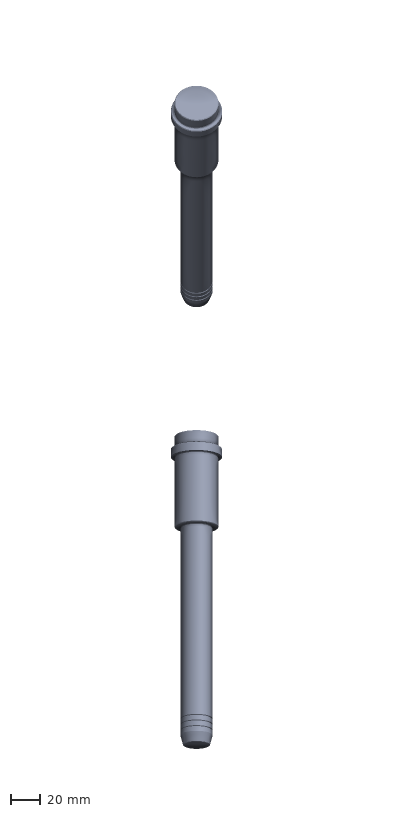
import math

import cadquery as cq

total_length = 220.0
head_diameter = 30.0
collar_diameter = 35.0
shank_diameter = 22.0

head_length = 65.0
collar_top_depth = 9.0
collar_thickness = 6.0

edge_chamfer = 0.5

taper_length = 7.0
taper_angle = 15.0
tip_chamfer = 0.3

groove_count = 3
groove_pitch = 4.0
groove_width = 1.0
groove_depth = 0.5
first_groove_bottom = 10.0

relief_width = 1.0
relief_depth = 0.4

head_bottom = total_length - head_length
collar_top = total_length - collar_top_depth
collar_bottom = collar_top - collar_thickness

taper_slope = math.tan(math.radians(taper_angle))
head_radius = head_diameter / 2
collar_radius = collar_diameter / 2
shank_radius = shank_diameter / 2
tip_radius = shank_radius - taper_length * taper_slope


def revolve_about_z(half_profile):
    """Revolve a closed outline of (radius, Z) points about the Z axis, with its seam on the -X side."""
    points = [(-radius, z) for radius, z in half_profile]
    return cq.Workplane("XZ").polyline(points).close().revolve(360, (0, 0, 0), (0, 1, 0))


def make_pin():
    """Stepped pin: tapered tip, shank, head and collar, with chamfered edges."""
    return revolve_about_z(
        [
            (0, 0),
            (tip_radius - tip_chamfer, 0),
            (tip_radius + tip_chamfer * taper_slope, tip_chamfer),
            (shank_radius, taper_length),
            (shank_radius, head_bottom),
            (head_radius - edge_chamfer, head_bottom),
            (head_radius, head_bottom + edge_chamfer),
            (head_radius, collar_bottom),
            (collar_radius, collar_bottom),
            (collar_radius, collar_top - edge_chamfer),
            (collar_radius - edge_chamfer, collar_top),
            (head_radius, collar_top),
            (head_radius, total_length - edge_chamfer),
            (head_radius - edge_chamfer, total_length),
            (0, total_length),
        ]
    )


def v_groove(radius, bottom, width, depth):
    """Ring of triangular section that cuts a V groove into a cylinder of the given radius."""
    return revolve_about_z(
        [(radius, bottom), (radius - depth, bottom + width / 2), (radius, bottom + width)]
    )


def cut_ring_grooves(pin):
    """Evenly spaced V grooves around the lower shank."""
    for index in range(groove_count):
        bottom = first_groove_bottom + index * groove_pitch
        pin = pin.cut(v_groove(shank_radius, bottom, groove_width, groove_depth))
    return pin


def cut_reliefs(pin):
    """V-shaped relief grooves on both sides of the collar and below the head."""
    pin = pin.cut(v_groove(head_radius, collar_top, relief_width, relief_depth))
    pin = pin.cut(v_groove(head_radius, collar_bottom - relief_width, relief_width, relief_depth))
    return pin.cut(v_groove(shank_radius, head_bottom - relief_width, relief_width, relief_depth))


result = cut_reliefs(cut_ring_grooves(make_pin()))